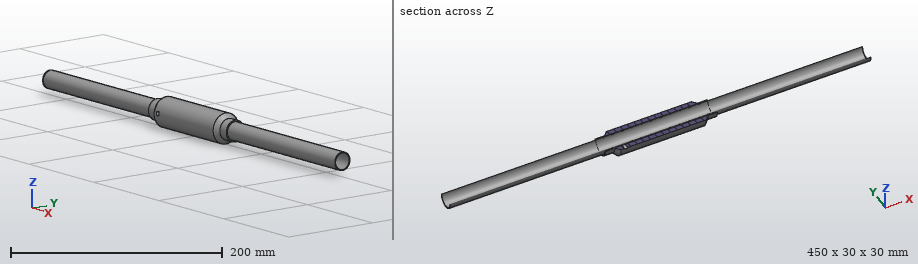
import cadquery as cq

PIPE_LENGTH = 450.0
PIPE_OUTER_DIAMETER = 18.0
PIPE_INNER_DIAMETER = 16.0

SLEEVE_DIAMETER = 30.0
COLLAR_DIAMETER = 21.0
SLEEVE_BORE_DIAMETER = 18.5
SLEEVE_LENGTH = 119.5
DRUM_LENGTH = 91.0

PORT_DIAMETER = 4.0
PORT_FROM_DRUM_END = 5.5
PORT_HEIGHT = 1.5


def make_pipe():
    """Straight open pipe."""
    return (
        cq.Workplane("YZ", origin=(-PIPE_LENGTH / 2, 0, 0))
        .circle(PIPE_OUTER_DIAMETER / 2)
        .circle(PIPE_INNER_DIAMETER / 2)
        .extrude(PIPE_LENGTH)
    )


def make_port_cutter():
    """Cylinder from the middle plane out through the -Y side of the sleeve."""
    port_x = -DRUM_LENGTH / 2 + PORT_FROM_DRUM_END
    return (
        cq.Workplane("XZ", origin=(port_x, 0, PORT_HEIGHT))
        .circle(PORT_DIAMETER / 2)
        .extrude(SLEEVE_DIAMETER)
    )


def make_sleeve():
    """Drum with a 45 degree cone and a thin collar at each end, bored to clear the pipe."""
    bore_radius = SLEEVE_BORE_DIAMETER / 2
    collar_radius = COLLAR_DIAMETER / 2
    drum_radius = SLEEVE_DIAMETER / 2
    sleeve_end = SLEEVE_LENGTH / 2
    drum_end = DRUM_LENGTH / 2
    cone_end = drum_end + drum_radius - collar_radius

    half_section = [
        (-sleeve_end, bore_radius),
        (-sleeve_end, collar_radius),
        (-cone_end, collar_radius),
        (-drum_end, drum_radius),
        (drum_end, drum_radius),
        (cone_end, collar_radius),
        (sleeve_end, collar_radius),
        (sleeve_end, bore_radius),
    ]
    body = (
        cq.Workplane("XY")
        .polyline(half_section)
        .close()
        .revolve(360, (0, 0, 0), (1, 0, 0))
    )
    return body.cut(make_port_cutter())


pipe = make_pipe()
sleeve = make_sleeve()
result = cq.Compound.makeCompound([pipe.val(), sleeve.val()])